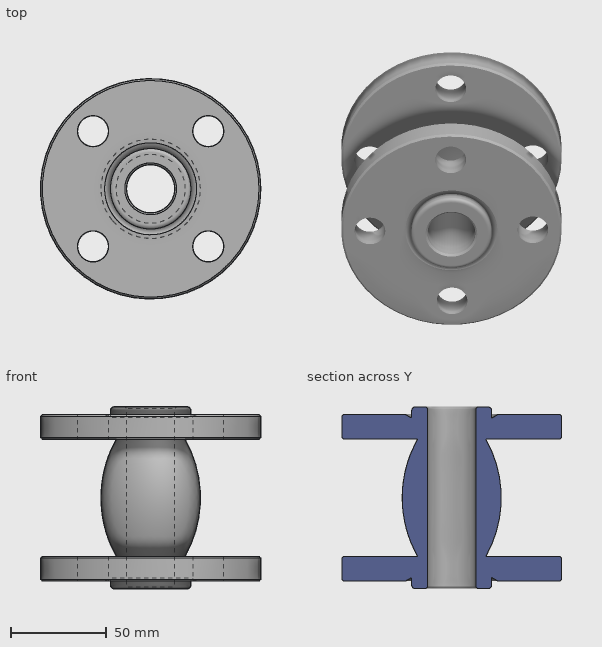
import cadquery as cq
import math

total_length = 95.0
bore_diameter = 25.0
bore_chamfer = 1.0

hub_diameter = 42.0
hub_projection = 4.0
hub_edge_radius = 2.0

flange_diameter = 115.0
flange_thickness = 13.0
flange_edge_chamfer = 1.0
countersink_width = 3.0
countersink_slope = 30.0
countersink_depth = countersink_width * math.tan(math.radians(countersink_slope))
countersink_diameter = hub_diameter + 2 * countersink_width

bolt_hole_diameter = 16.0
bolt_circle_diameter = 85.0
bolt_count = 4
first_bolt_angle = 45.0

bellows_neck_diameter = 36.0
bellows_middle_diameter = 52.0

end_height = total_length / 2
flange_outer_height = end_height - hub_projection
flange_inner_height = flange_outer_height - flange_thickness


def make_bellows():
    """Barrel revolved about Z, bulging along one arc between the flanges."""
    neck_radius = bellows_neck_diameter / 2
    middle_radius = bellows_middle_diameter / 2
    return (
        cq.Workplane("XZ")
        .moveTo(0, -flange_inner_height)
        .lineTo(neck_radius, -flange_inner_height)
        .threePointArc((middle_radius, 0), (neck_radius, flange_inner_height))
        .lineTo(0, flange_inner_height)
        .close()
        .revolve(360, (0, 0, 0), (0, 1, 0))
    )


def make_upper_flange():
    """Chamfered disc with bolt holes and a conical recess around the hub."""
    flange = (
        cq.Workplane("XY")
        .workplane(offset=flange_inner_height)
        .circle(flange_diameter / 2)
        .extrude(flange_thickness)
        .edges()
        .chamfer(flange_edge_chamfer)
    )
    bolt_holes = (
        cq.Workplane("XY")
        .workplane(offset=flange_inner_height)
        .polarArray(bolt_circle_diameter / 2, first_bolt_angle, 360, bolt_count)
        .circle(bolt_hole_diameter / 2)
        .extrude(flange_thickness)
    )
    recess = (
        cq.Workplane("XY")
        .workplane(offset=flange_outer_height)
        .circle(countersink_diameter / 2)
        .workplane(offset=-countersink_depth)
        .circle(hub_diameter / 2)
        .loft(ruled=True)
    )
    return flange.cut(bolt_holes).cut(recess)


def make_upper_hub():
    """Round hub from the inner flange face to the end, with a rounded rim."""
    return (
        cq.Workplane("XY")
        .workplane(offset=flange_inner_height)
        .circle(hub_diameter / 2)
        .extrude(end_height - flange_inner_height)
        .faces(">Z")
        .edges()
        .fillet(hub_edge_radius)
    )


def make_bore():
    """Straight through bore with a chamfer at each mouth."""
    bore_radius = bore_diameter / 2
    mouth_radius = bore_radius + bore_chamfer
    chamfer_height = end_height - bore_chamfer
    return (
        cq.Workplane("XZ")
        .polyline([
            (0, -end_height),
            (mouth_radius, -end_height),
            (bore_radius, -chamfer_height),
            (bore_radius, chamfer_height),
            (mouth_radius, end_height),
            (0, end_height),
        ])
        .close()
        .revolve(360, (0, 0, 0), (0, 1, 0))
    )


upper_end = make_upper_flange().union(make_upper_hub())
lower_end = upper_end.mirror("XY")
result = make_bellows().union(upper_end).union(lower_end).cut(make_bore())